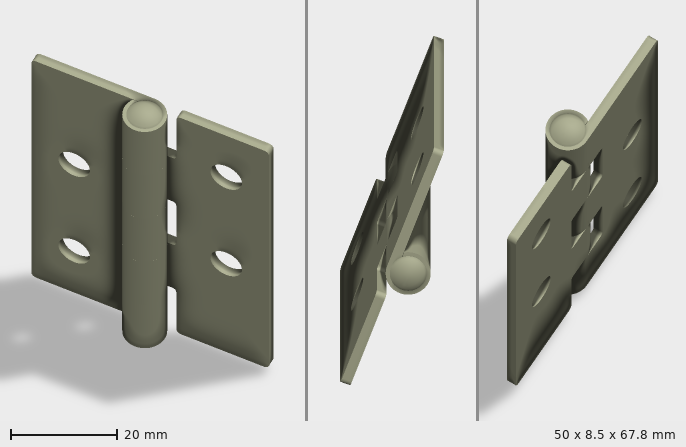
import cadquery as cq
import math

overall_height = 67.8
overall_width = 50.0
head_height = 1.4
barrel_diameter = 8.5
sheet_thickness = 2.0
head_radius = 3.45
knuckle_count = 5
notch_edge_x = 5.5
notch_overrun = 0.7
corner_radius = 1.0
notch_radius = 0.8
seam_gap = 0.1
hole_diameter = 6.65
hole_x = 16.0
hole_far_z = 20.0
hole_near_z = 6.0

barrel_radius = barrel_diameter / 2
leaf_height = overall_height - 2 * head_height
half_height = leaf_height / 2
half_width = overall_width / 2
knuckle_pitch = leaf_height / knuckle_count
pin_radius = barrel_radius - sheet_thickness
plate_front_y = barrel_radius - sheet_thickness
tolerance = 0.01


def rolled_sheet(side):
    """Flat plate on one side (-1 or +1 in X) with a full-height eye rolled around the pin axis."""
    plate = (
        cq.Workplane("XY", origin=(0, 0, -half_height))
        .moveTo(side * half_width, plate_front_y)
        .lineTo(side * half_width, barrel_radius)
        .lineTo(0, barrel_radius)
        .lineTo(0, plate_front_y)
        .close()
        .extrude(leaf_height)
    )
    eye = cq.Workplane("XY", origin=(0, 0, -half_height)).circle(barrel_radius).extrude(leaf_height)
    seam = (
        cq.Workplane("XY")
        .center(side * barrel_radius / 2, plate_front_y - seam_gap / 2)
        .rect(barrel_radius, seam_gap)
        .extrude(half_height, both=True)
    )
    bore = cq.Workplane("XY").circle(pin_radius).extrude(half_height, both=True)
    return plate.union(eye).cut(seam).cut(bore)


def notch(side, index):
    """Clearance for the other leaf's knuckle, counted from the bottom."""
    length = notch_edge_x + barrel_radius + notch_overrun
    center_x = side * (notch_edge_x - length / 2)
    center_z = (index + 0.5) * knuckle_pitch - half_height
    return cq.Workplane("XY").box(length, 4 * barrel_radius, knuckle_pitch).translate((center_x, 0, center_z))


def round_corners(leaf, x, z_levels, radius):
    """Round the plate corners that run along Y at the given X and Z places."""
    for z in z_levels:
        corner = cq.selectors.BoxSelector(
            (x - tolerance, 0, z - tolerance),
            (x + tolerance, 2 * barrel_radius, z + tolerance),
        )
        leaf = leaf.edges(corner).fillet(radius)
    return leaf


def make_leaf(side, notch_indexes, hole_heights):
    leaf = rolled_sheet(side)
    for index in notch_indexes:
        leaf = leaf.cut(notch(side, index))

    leaf = round_corners(leaf, side * half_width, (-half_height, half_height), corner_radius)
    for index in notch_indexes:
        for level in (index, index + 1):
            at_leaf_end = level in (0, knuckle_count)
            radius = corner_radius if at_leaf_end else notch_radius
            z = level * knuckle_pitch - half_height
            leaf = round_corners(leaf, side * notch_edge_x, (z,), radius)

    for z in hole_heights:
        hole = (
            cq.Workplane("XZ")
            .center(side * hole_x, z)
            .circle(hole_diameter / 2)
            .extrude(-2 * barrel_radius)
        )
        leaf = leaf.cut(hole)
    return leaf


def make_pin():
    """Straight shank with a domed head at each end, seated on the barrel ends."""
    dome_mid_radius = head_radius * math.sqrt(0.5)
    sphere_radius = (head_radius**2 + head_height**2) / (2 * head_height)
    sphere_center_z = half_height + head_height - sphere_radius
    dome_mid_z = sphere_center_z + math.sqrt(sphere_radius**2 - dome_mid_radius**2)
    return (
        cq.Workplane("XZ")
        .moveTo(0, -half_height - head_height)
        .threePointArc((dome_mid_radius, -dome_mid_z), (head_radius, -half_height))
        .lineTo(pin_radius, -half_height)
        .lineTo(pin_radius, half_height)
        .lineTo(head_radius, half_height)
        .threePointArc((dome_mid_radius, dome_mid_z), (0, half_height + head_height))
        .close()
        .revolve(360, (0, 0, 0), (0, 1, 0))
    )


left_leaf = make_leaf(-1, (1, 3), (hole_near_z, -hole_far_z))
right_leaf = make_leaf(1, (0, 2, 4), (hole_far_z, -hole_near_z))
pin = make_pin()

result = cq.Compound.makeCompound([*left_leaf.solids().vals(), *right_leaf.solids().vals(), pin.val()])